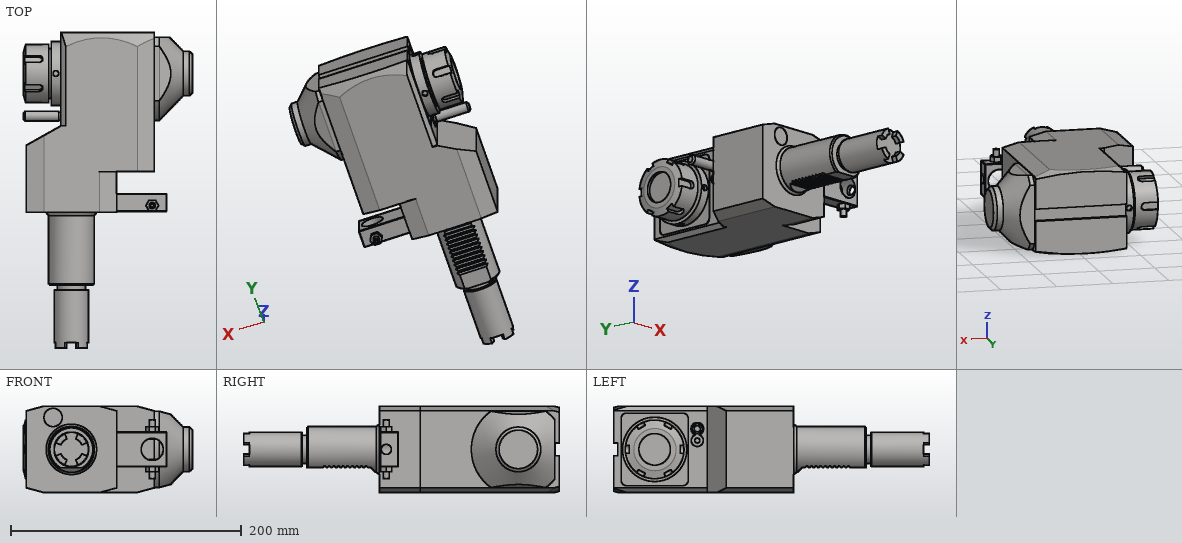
import cadquery as cq
import math


half_height = 37.5
foot_half_width = 39.0
foot_depth = 35.3
head_left = -9.3
head_right = 72.0
shoulder_outer_y = 58.3
shoulder_inner_y = 75.0
head_back = 156.0
bevel_drop = 4.0
bevel_run = 15.0
head_left_bevel_run = 4.5

relief_radius = 251.7
relief_slope = 0.25
relief_center_x = 26.0
relief_back_z = 36.5
relief_start_y = 136.8

rear_slot_depth = 3.5
rear_slot_width = 11.0

shank_radius = 20.0
shank_end = -63.0
shank_chamfer = 1.5
collar_radius = 22.0
collar_length = 2.7
neck_radius = 12.3
neck_end = -67.0
tail_radius = 15.0
tail_end = -112.7
tail_chamfer = 0.5
tang_end = -117.5
tang_inner_radius = 9.8
tang_gap_half_angle = 23
tang_count = 4

flat_z = -16.0
flat_start_y = -7.5
tooth_count = 10
tooth_pitch = 4.0
first_groove_y = -11.5
groove_depth = 1.6

spindle_y = 120.4
plate_width = 58.3
plate_height = 63.0
plate_corner_radius = 5.0
plate_recess = 0.5
ring_radius = 28.0
ring_face_x = -17.5
ring_hole_radius = 2.5
ring_hole_depth = 2.7
ring_hole_count = 4
groove_radius = 22.0
nut_back_x = -19.5
nut_radius = 25.5
nut_rim_x = -39.7
nut_face_x = -41.5
nut_face_radius = 18.3
nut_bore_radius = 13.7
nut_bore_depth = 2.7
nut_slot_count = 6
nut_slot_end_x = -25.0
nut_slot_width = 6.8
nut_slot_depth = 3.3

pin_y = 83.5
pin_z = 17.8
pin_radius = 4.5
pin_neck_radius = 3.5
pin_neck_end_x = -11.0
pin_tip_chamfer = 1.6
pin_seat_radius = 5.5
plug_z = 7.7
plug_radius = 5.2
plug_socket_radius = 2.2
plug_socket_depth = 2.7
seat_depth = 0.8

cover_radius = 40.8
cover_flange_x = 76.0
cover_cone_x = 96.8
cover_neck_radius = 19.5
cover_end_x = 105.0
cover_chamfer = 2.7
cover_back_y = 151.8
cover_flat_z = 33.0
cover_flat_angle = 15

arm_end_x = 82.5
arm_front_y = 0.8
arm_back_y = 16.5
arm_half_height = 15.0
arm_chamfer = 0.5
arm_hole_x = 70.0
arm_hole_radius = 9.5
arm_cross_hole_radius = 4.5
screw_y = 6.0
screw_radius = 2.7
screw_tip_z = 25.5
screw_inner_z = 8.8
screw_socket_radius = 1.5
screw_socket_depth = 1.6
nut_hex_diameter = 11.0
nut_hex_top_z = 19.5

face_plug_x = -16.0
face_plug_z = 27.5
face_plug_radius = 8.0
face_plug_depth = 0.3


def box(x_range, y_range, z_range):
    """Box between pairs of coordinates."""
    ranges = (x_range, y_range, z_range)
    size = [high - low for low, high in ranges]
    return cq.Workplane().box(*size, centered=False).translate([low for low, high in ranges])


def y_rod(radius, x, z, y_from, y_to):
    """Cylinder along Y."""
    rod = cq.Workplane("XZ").circle(radius).extrude(y_from - y_to)
    return rod.translate((x, y_from, z))


def x_rod(radius, y, z, x_from, x_to):
    """Cylinder along X."""
    rod = cq.Workplane("YZ").circle(radius).extrude(x_to - x_from)
    return rod.translate((x_from, y, z))


def turned_about_spindle(profile):
    """Solid of revolution about the spindle axis from (x, radius) points."""
    turned = cq.Workplane("XY").polyline(profile).close()
    return turned.revolve(360, (0, 0, 0), (1, 0, 0)).translate((0, spindle_y, 0))


def edge_bevels(side_x, run, y_from, y_to):
    """Wedges that bevel the top and bottom long edges of a side wall; run points inward."""
    top = (
        cq.Workplane("XZ")
        .polyline(
            [
                (side_x, half_height - bevel_drop),
                (side_x + run, half_height),
                (side_x, half_height),
            ]
        )
        .close()
        .extrude(y_from - y_to)
        .translate((0, y_from, 0))
    )
    return top.union(top.mirror("XY"))


def rear_relief():
    """Material removed above and below a very wide cone along the rear edges."""
    length = head_back - relief_start_y
    start_radius = relief_radius + relief_slope * length
    cone = cq.Workplane(
        cq.Solid.makeCone(
            start_radius,
            relief_radius,
            length,
            cq.Vector(relief_center_x, relief_start_y, relief_back_z - relief_radius),
            cq.Vector(0, 1, 0),
        )
    )
    rim = box((head_left, head_right), (relief_start_y, head_back), (0, half_height))
    top = rim.cut(cone)
    return top.union(top.mirror("XY"))


def housing():
    outline = [
        (-foot_half_width, 0),
        (foot_half_width, 0),
        (foot_half_width, foot_depth),
        (head_right, foot_depth),
        (head_right, head_back),
        (head_left, head_back),
        (head_left, shoulder_inner_y),
        (-foot_half_width, shoulder_outer_y),
    ]
    body = cq.Workplane("XY").polyline(outline).close().extrude(half_height, both=True)
    body = body.cut(edge_bevels(-foot_half_width, bevel_run, 0, shoulder_inner_y))
    body = body.cut(edge_bevels(foot_half_width, -bevel_run, 0, foot_depth))
    body = body.cut(edge_bevels(head_right, -bevel_run, foot_depth, head_back))
    body = body.cut(edge_bevels(head_left, head_left_bevel_run, shoulder_inner_y, head_back))
    body = body.cut(rear_relief())
    slot = box(
        (head_left, head_right),
        (head_back - rear_slot_depth, head_back),
        (-rear_slot_width / 2, rear_slot_width / 2),
    )
    plug_mark = y_rod(face_plug_radius, face_plug_x, face_plug_z, 0, face_plug_depth)
    return body.cut(slot).cut(plug_mark)


def serration():
    """Flat with a sloped run-out and V grooves, cut into the underside of the shank."""
    runout = collar_radius + flat_z
    profile = [
        (flat_start_y, flat_z),
        (shank_end, flat_z),
        (shank_end, -collar_radius),
        (flat_start_y + runout, -collar_radius),
    ]
    cutter = cq.Workplane("YZ").polyline(profile).close().extrude(collar_radius, both=True)
    for index in range(tooth_count):
        groove_y = first_groove_y - index * tooth_pitch
        groove = (
            cq.Workplane("YZ")
            .polyline(
                [
                    (groove_y - groove_depth, flat_z),
                    (groove_y, flat_z + groove_depth),
                    (groove_y + groove_depth, flat_z),
                ]
            )
            .close()
            .extrude(collar_radius, both=True)
        )
        cutter = cutter.union(groove)
    return cutter


def tang_gaps():
    """Round core and radial wedges removed from the end of the tail, leaving tangs on the diagonals."""
    depth = tail_end - tang_end
    half_width = tail_radius * math.tan(math.radians(tang_gap_half_angle))
    overshoot = 1.5
    wedge = (
        cq.Workplane("XZ")
        .polyline(
            [
                (0, 0),
                (overshoot * tail_radius, overshoot * half_width),
                (overshoot * tail_radius, -overshoot * half_width),
            ]
        )
        .close()
        .extrude(depth)
        .translate((0, tail_end, 0))
    )
    gaps = y_rod(tang_inner_radius, 0, 0, tang_end, tail_end)
    for index in range(tang_count):
        gaps = gaps.union(wedge.rotate((0, 0, 0), (0, 1, 0), index * 360 / tang_count))
    return gaps


def shank():
    profile = [
        (0, 0),
        (collar_radius, 0),
        (shank_radius, -collar_length),
        (shank_radius, shank_end + shank_chamfer),
        (shank_radius - shank_chamfer, shank_end),
        (neck_radius, shank_end),
        (neck_radius, neck_end),
        (tail_radius - tail_chamfer, neck_end),
        (tail_radius, neck_end - tail_chamfer),
        (tail_radius, tang_end),
        (0, tang_end),
    ]
    turned = cq.Workplane("XY").polyline(profile).close().revolve(360, (0, 0, 0), (0, 1, 0))
    return turned.cut(serration()).cut(tang_gaps())


def plate_pocket():
    """Shallow rounded rectangle around the spindle."""
    plate = cq.Workplane("YZ").rect(plate_width, plate_height).extrude(plate_recess)
    plate = plate.edges("|X").fillet(plate_corner_radius)
    return plate.translate((head_left, spindle_y, 0))


def spindle():
    """Ring and collet nut with wrench slots."""
    bore_floor_x = nut_face_x + nut_bore_depth
    body = turned_about_spindle(
        [
            (head_left + plate_recess, 0),
            (head_left + plate_recess, ring_radius),
            (ring_face_x, ring_radius),
            (ring_face_x, groove_radius),
            (nut_back_x, groove_radius),
            (nut_back_x, nut_radius),
            (nut_rim_x, nut_radius),
            (nut_face_x, nut_face_radius),
            (nut_face_x, nut_bore_radius),
            (bore_floor_x, nut_bore_radius),
            (bore_floor_x, 0),
        ]
    )
    axis_start = (0, spindle_y, 0)
    axis_end = (1, spindle_y, 0)

    slot_center_x = nut_slot_end_x - nut_slot_width / 2
    slot_floor = nut_radius - nut_slot_depth
    slot = box(
        (nut_face_x, slot_center_x),
        (spindle_y - nut_slot_width / 2, spindle_y + nut_slot_width / 2),
        (slot_floor, nut_radius),
    )
    round_end = cq.Workplane("XY").circle(nut_slot_width / 2).extrude(nut_slot_depth)
    slot = slot.union(round_end.translate((slot_center_x, spindle_y, slot_floor)))
    for index in range(nut_slot_count):
        angle = (index + 0.5) * 360 / nut_slot_count
        body = body.cut(slot.rotate(axis_start, axis_end, angle))

    hole = cq.Workplane("XY").circle(ring_hole_radius).extrude(ring_hole_depth)
    ring_center_x = (head_left + ring_face_x) / 2
    hole = hole.translate((ring_center_x, spindle_y, ring_radius - ring_hole_depth))
    for index in range(ring_hole_count):
        body = body.cut(hole.rotate(axis_start, axis_end, index * 360 / ring_hole_count))
    return body


def pin():
    rod = x_rod(pin_radius, pin_y, pin_z, pin_neck_end_x, nut_face_x)
    rod = rod.faces("<X").chamfer(pin_tip_chamfer)
    neck = x_rod(pin_neck_radius, pin_y, pin_z, head_left + seat_depth, pin_neck_end_x)
    return rod.union(neck)


def pin_and_plug_seats():
    seat_floor = head_left + seat_depth
    seats = x_rod(pin_seat_radius, pin_y, pin_z, head_left, seat_floor)
    seats = seats.union(x_rod(plug_radius, pin_y, plug_z, head_left, seat_floor))
    socket = x_rod(plug_socket_radius, pin_y, plug_z, head_left, seat_floor + plug_socket_depth)
    return seats.union(socket)


def cover():
    """Cone-shaped cap with flats above, below and at the back."""
    cap = turned_about_spindle(
        [
            (head_right, 0),
            (head_right, cover_radius),
            (cover_flange_x, cover_radius),
            (cover_cone_x, cover_neck_radius),
            (cover_end_x - cover_chamfer, cover_neck_radius),
            (cover_end_x, cover_neck_radius - cover_chamfer),
            (cover_end_x, 0),
        ]
    )
    flat_run = cover_end_x - cover_flange_x
    flat_end_z = cover_flat_z - flat_run * math.tan(math.radians(cover_flat_angle))
    front_y = spindle_y - cover_radius
    envelope = (
        cq.Workplane("XZ")
        .polyline(
            [
                (head_right, cover_flat_z),
                (cover_flange_x, cover_flat_z),
                (cover_end_x, flat_end_z),
                (cover_end_x, -flat_end_z),
                (cover_flange_x, -cover_flat_z),
                (head_right, -cover_flat_z),
            ]
        )
        .close()
        .extrude(front_y - cover_back_y)
        .translate((0, front_y, 0))
    )
    return cap.intersect(envelope)


def arm_screw():
    """Upper set screw of the arm with its lock nut."""
    screw = cq.Workplane("XY").circle(screw_radius).extrude(screw_tip_z - screw_inner_z)
    screw = screw.faces(">Z").workplane().hole(2 * screw_socket_radius, screw_socket_depth)
    screw = screw.translate((arm_hole_x, screw_y, screw_inner_z))
    lock_nut = cq.Workplane("XY").polygon(6, nut_hex_diameter).extrude(nut_hex_top_z - arm_half_height)
    return screw.union(lock_nut.translate((arm_hole_x, screw_y, arm_half_height)))


def arm():
    bar = box(
        (foot_half_width, arm_end_x),
        (arm_front_y, arm_back_y),
        (-arm_half_height, arm_half_height),
    )
    bar = bar.edges("|X or >X").chamfer(arm_chamfer)
    bar = bar.cut(y_rod(arm_hole_radius, arm_hole_x, 0, arm_front_y, arm_back_y))
    bar = bar.cut(x_rod(arm_cross_hole_radius, screw_y, 0, arm_hole_x, arm_end_x))
    screw = arm_screw()
    return bar.union(screw).union(screw.mirror("XY"))


result = (
    housing()
    .cut(plate_pocket())
    .cut(pin_and_plug_seats())
    .union(shank())
    .union(spindle())
    .union(pin())
    .union(cover())
    .union(arm())
)